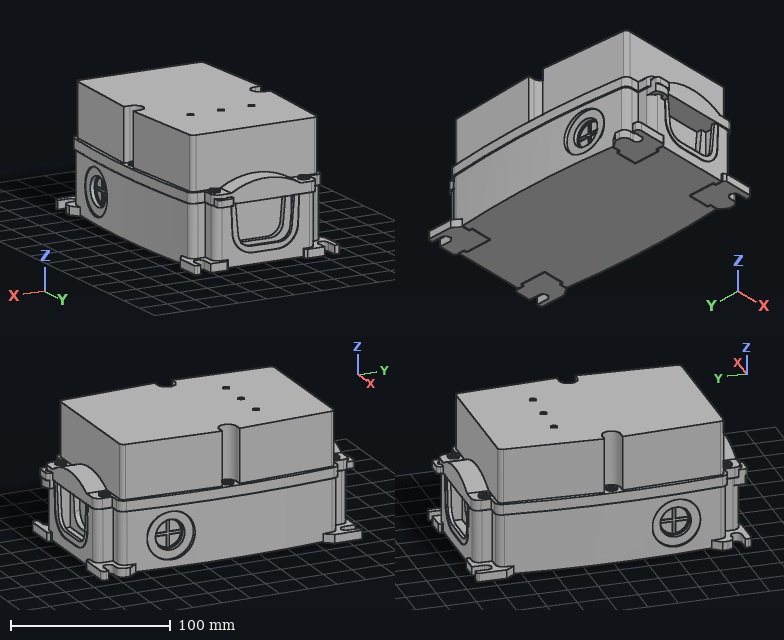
import cadquery as cq
pad_height = 0.6
foot_height = 6.0
flange_bottom = 42.0
flange_top = 49.2
arch_top = 56.0
total_height = 86.0

side_bow_half_width = 51.8
corner_half_width = 47.4
shoulder_y = 76.5
tab_half_width = 37.3
tab_end_y = 88.5
corner_radius = 5.0
wall_setback = 0.9

box_end_half_width = 45.5
box_mid_half_width = 49.7
box_end_y = 74.3
box_corner_radius = 3.0
notch_radius = 6.0
arch_half_width = 24.9

side_screw_x = 45.0
end_screw_x = 32.1
end_screw_y = 79.4
screw_radius = 3.8
screw_height = 1.3
screw_edge_bevel = 0.6
socket_size = 3.6
socket_depth = 1.0

indicator_spacing = 21.9
indicator_y = 30.5
indicator_radius = 2.0
indicator_depth = 1.0

foot_outer_x = 52.0
foot_inner_x = 27.2
foot_end_y = 90.5
foot_back_y = 64.8
foot_bevel_x = 4.5
foot_bevel_y = 6.1
foot_toe_bevel = 1.7
end_slot_corner_radius = 1.4
side_slot_corner_radius = 2.7
foot_slot_width = 7.0
end_slot_x = 44.5
end_slot_bottom_y = 78.7
side_slot_y = 82.4
side_slot_bottom_x = 41.0
foot_elbow_radius = 4.8
pad_inner_x = 24.9
pad_back_y = 62.4

lug_x = 30.5
lug_width = 11.6
lug_end_y = 92.62
lug_top = 46.8
lug_corner_radius = 2.0
wall_lug_crown = 2.0
lug_hole_radius = 2.5
lug_hole_y = 87.7
wall_lug_bottom = 36.4
lug_back_y = 82.4

window_top_half_width = 21.2
window_bottom_half_width = 18.5
window_bottom = 12.5
window_radius = 9.5
frame_top_half_width = 24.4
frame_bottom_half_width = 23.0
frame_bottom = 8.3
frame_radius = 15.0
frame_depth = 0.5
window_depth = 15.5
gap_start = 2.8
gap_end = 11.6
gap_margin = 4.0

knockout_y = -41.4
knockout_z = 21.9
spotface_radius = 16.1
spotface_x = 47.9
knockout_radius = 10.1
knockout_depth = 4.0
knockout_lip_width = 0.8
knockout_lip_depth = 3.0
cross_width = 1.9
cross_height = 0.8


def block(x_min, x_max, y_min, y_max, z_min, z_max):
    size = (x_max - x_min, y_max - y_min, z_max - z_min)
    return cq.Workplane("XY").box(*size, centered=False).translate((x_min, y_min, z_min))


def housing_slab(setback, z_min, z_max):
    """Prism with bowed sides and stepped ends, set back from the flange outline."""
    bow = side_bow_half_width - setback
    corner = corner_half_width - setback
    shoulder = shoulder_y - setback
    core = (
        cq.Workplane("XY")
        .workplane(offset=z_min)
        .moveTo(-corner, -shoulder)
        .lineTo(corner, -shoulder)
        .threePointArc((bow, 0), (corner, shoulder))
        .lineTo(-corner, shoulder)
        .threePointArc((-bow, 0), (-corner, -shoulder))
        .close()
        .extrude(z_max - z_min)
        .edges("|Z")
        .fillet(corner_radius)
    )
    tab = tab_half_width - setback
    end = tab_end_y - setback
    spine = block(-tab, tab, -end, end, z_min, z_max).edges("|Z").fillet(corner_radius)
    return core.union(spine)


def cover_box():
    height = total_height - flange_top
    box = (
        cq.Workplane("XY")
        .workplane(offset=flange_top)
        .polyline([
            (-box_end_half_width, -box_end_y),
            (box_end_half_width, -box_end_y),
            (box_mid_half_width, 0),
            (box_end_half_width, box_end_y),
            (-box_end_half_width, box_end_y),
            (-box_mid_half_width, 0),
        ])
        .close()
        .extrude(height)
    )
    box = box.edges("|Z and (>Y or <Y)").fillet(box_corner_radius)
    for side in (-1, 1):
        notch = (
            cq.Workplane("XY")
            .workplane(offset=flange_top)
            .center(side * side_screw_x, 0)
            .slot2D(4 * notch_radius, 2 * notch_radius)
            .extrude(height)
            .translate((side * notch_radius, 0, 0))
        )
        box = box.cut(notch)
    indicators = (
        cq.Workplane("XY")
        .workplane(offset=total_height - indicator_depth)
        .pushPoints([(i * indicator_spacing, indicator_y) for i in (-1, 0, 1)])
        .circle(indicator_radius)
        .extrude(indicator_depth)
    )
    return box.cut(indicators)


def arch():
    """Humped ridge running the length of the flange, seen beyond each end of the box."""
    return (
        cq.Workplane("XZ", origin=(0, tab_end_y, 0))
        .moveTo(-arch_half_width, flange_top)
        .threePointArc((0, arch_top), (arch_half_width, flange_top))
        .close()
        .extrude(2 * tab_end_y)
    )


def screw_head():
    return (
        cq.Workplane("XY")
        .circle(screw_radius)
        .extrude(screw_height)
        .faces(">Z")
        .chamfer(screw_edge_bevel)
        .faces(">Z")
        .workplane()
        .polygon(6, socket_size)
        .cutBlind(-socket_depth)
    )


def screw_positions():
    ends = [(x * end_screw_x, y * end_screw_y) for x in (-1, 1) for y in (-1, 1)]
    sides = [(-side_screw_x, 0), (side_screw_x, 0)]
    return ends + sides


def foot_blank(corner_round):
    """Foot plate for the +X, +Y corner, with its thin pad, before slotting."""
    plate = (
        cq.Workplane("XY")
        .polyline([
            (foot_inner_x, foot_back_y),
            (foot_outer_x - foot_bevel_x, foot_back_y),
            (foot_outer_x, foot_back_y + foot_bevel_y),
            (foot_outer_x, foot_end_y),
            (foot_inner_x + foot_toe_bevel, foot_end_y),
            (foot_inner_x, foot_end_y - foot_toe_bevel),
        ])
        .close()
        .extrude(foot_height)
    )
    outer_corner = cq.selectors.NearestToPointSelector((foot_outer_x, foot_end_y, foot_height / 2))
    plate = plate.edges(outer_corner).fillet(corner_round)
    pad = block(pad_inner_x, corner_half_width - wall_setback - corner_radius,
                pad_back_y, tab_end_y - wall_setback - corner_radius, 0, pad_height)
    return plate.union(pad)


def end_slotted_foot():
    """Foot whose slot opens toward +Y."""
    half = foot_slot_width / 2
    center_y = end_slot_bottom_y + half
    slot = block(end_slot_x - half, end_slot_x + half, center_y, foot_end_y, 0, foot_height)
    slot_end = cq.Workplane("XY").center(end_slot_x, center_y).circle(half).extrude(foot_height)
    return foot_blank(end_slot_corner_radius).cut(slot).cut(slot_end)


def side_slotted_foot():
    """Foot whose slot opens toward +X, with a rounded elbow beside the slot."""
    half = foot_slot_width / 2
    center_x = side_slot_bottom_x + half
    slot = block(center_x, foot_outer_x, side_slot_y - half, side_slot_y + half, 0, foot_height)
    slot_end = cq.Workplane("XY").center(center_x, side_slot_y).circle(half).extrude(foot_height)
    foot = foot_blank(side_slot_corner_radius).cut(slot).cut(slot_end)
    elbow = cq.selectors.NearestToPointSelector((foot_outer_x, side_slot_y - half, foot_height / 2))
    return foot.edges(elbow).fillet(foot_elbow_radius)


def lug_hole(z_min, z_max):
    """Vertical hole for a sealing wire."""
    return (
        cq.Workplane("XY")
        .workplane(offset=z_min)
        .center(-lug_x, -lug_hole_y)
        .circle(lug_hole_radius)
        .extrude(z_max - z_min)
    )


def flange_lug():
    """Lug on the flange at the -X, -Y corner, with rounded corners."""
    half = lug_width / 2
    body = block(-lug_x - half, -lug_x + half, -lug_end_y, -lug_back_y, flange_bottom, lug_top)
    body = body.edges("|Z and <Y").fillet(lug_corner_radius)
    return body.cut(lug_hole(flange_bottom, lug_top))


def wall_lug():
    """Lug on the wall below the flange lug, with a crowned end face."""
    left = -lug_x - lug_width / 2
    right = -lug_x + lug_width / 2
    crown_start_y = -lug_end_y + wall_lug_crown
    body = (
        cq.Workplane("XY")
        .workplane(offset=wall_lug_bottom)
        .moveTo(left, -lug_back_y)
        .lineTo(left, crown_start_y)
        .threePointArc((-lug_x, -lug_end_y), (right, crown_start_y))
        .lineTo(right, -lug_back_y)
        .close()
        .extrude(flange_bottom - wall_lug_bottom)
    )
    return body.cut(lug_hole(wall_lug_bottom, flange_bottom))


def window_prism(top_half, bottom_half, bottom, radius, y_start, length):
    """U-shaped prism with its open top at the flange, running toward +Y from y_start."""
    return (
        cq.Workplane("XZ", origin=(0, y_start, 0))
        .polyline([
            (-top_half, flange_bottom),
            (-bottom_half, bottom),
            (bottom_half, bottom),
            (top_half, flange_bottom),
        ])
        .close()
        .extrude(-length)
        .edges("|Y and <Z")
        .fillet(radius)
    )


def window_frame():
    """Shallow recess bordering the window opening."""
    wall_y = wall_setback - tab_end_y
    return window_prism(frame_top_half_width, frame_bottom_half_width, frame_bottom,
                        frame_radius, wall_y, frame_depth)


def window_pocket():
    """Window through two parallel walls with a wider gap between them."""
    front_y = wall_setback - tab_end_y
    opening = window_prism(window_top_half_width, window_bottom_half_width, window_bottom,
                           window_radius, front_y, window_depth)
    gap = block(-window_top_half_width - gap_margin, window_top_half_width + gap_margin,
                front_y + gap_start, front_y + gap_end, window_bottom - gap_margin, flange_bottom)
    return opening.union(gap)


def knockout_disc(radius, floor_x, length):
    """Disc on the -X side, from floor_x outward."""
    return (
        cq.Workplane("YZ", origin=(-floor_x, knockout_y, knockout_z))
        .circle(radius)
        .extrude(-length)
    )


def knockout_cut():
    spotface = knockout_disc(spotface_radius, spotface_x, side_bow_half_width - spotface_x)
    floor_x = spotface_x - knockout_depth
    recess = knockout_disc(knockout_radius - knockout_lip_width, floor_x, knockout_depth)
    lip_x = spotface_x - knockout_lip_depth
    recess = recess.union(knockout_disc(knockout_radius, lip_x, knockout_lip_depth))
    half = cross_width / 2
    rib_x = (-floor_x - cross_height, -floor_x)
    upright = block(*rib_x, knockout_y - half, knockout_y + half,
                    knockout_z - knockout_radius, knockout_z + knockout_radius)
    crossbar = block(*rib_x, knockout_y - knockout_radius, knockout_y + knockout_radius,
                     knockout_z - half, knockout_z + half)
    return spotface.union(recess.cut(upright).cut(crossbar))


def half_turn(shape):
    return shape.rotate((0, 0, 0), (0, 0, 1), 180)


base = housing_slab(wall_setback, pad_height, flange_bottom)
for foot in (
    end_slotted_foot(),
    end_slotted_foot().mirror("YZ"),
    side_slotted_foot().mirror("XZ"),
    half_turn(side_slotted_foot()),
):
    base = base.union(foot)
base = base.union(wall_lug())
base = base.cut(window_frame()).cut(half_turn(window_frame()))
base = base.cut(window_pocket()).cut(half_turn(window_pocket()))
base = base.cut(knockout_cut()).cut(knockout_cut().mirror("YZ"))

cover = flange_lug().union(half_turn(flange_lug()))
cover = cover.union(housing_slab(0, flange_bottom, flange_top))
cover = cover.union(arch()).union(cover_box())
for x, y in screw_positions():
    cover = cover.union(screw_head().translate((x, y, flange_top)))

result = base.union(cover)